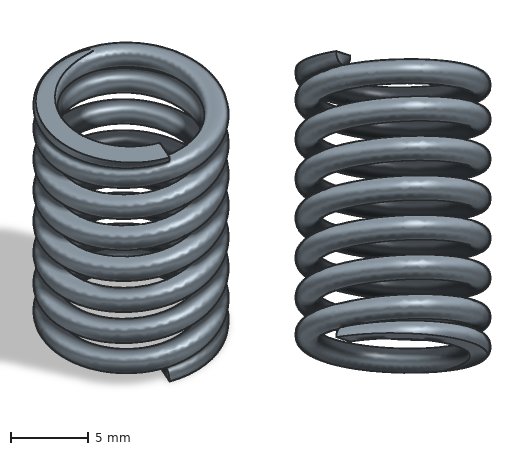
import cadquery as cq

free_length = 19.07
outer_diameter = 12.7
wire_diameter = 1.6
closed_turns = 1
active_turns = 6
coil_clearance = 0.02

coil_radius = (outer_diameter - wire_diameter) / 2
closed_pitch = wire_diameter + coil_clearance
closed_height = closed_turns * closed_pitch
active_height = free_length - 2 * closed_height
active_pitch = active_height / active_turns


def coil(pitch, height, base_z):
    """Right-handed coil of round wire that starts on the +X side at base_z."""
    path = cq.Wire.makeHelix(pitch, height, coil_radius, center=cq.Vector(0, 0, base_z))
    section = cq.Workplane("XZ").center(coil_radius, base_z).circle(wire_diameter / 2)
    return section.sweep(cq.Workplane(path), isFrenet=True)


def ground_to_length(spring):
    """Grind both ends flat, leaving only what lies within the free length."""
    envelope = cq.Workplane("XY").rect(2 * outer_diameter, 2 * outer_diameter).extrude(free_length)
    return spring.intersect(envelope)


bottom_coil = coil(closed_pitch, closed_height, 0)
active_coils = coil(active_pitch, active_height, closed_height)
top_coil = coil(closed_pitch, closed_height, closed_height + active_height)

result = ground_to_length(bottom_coil.union(active_coils).union(top_coil))